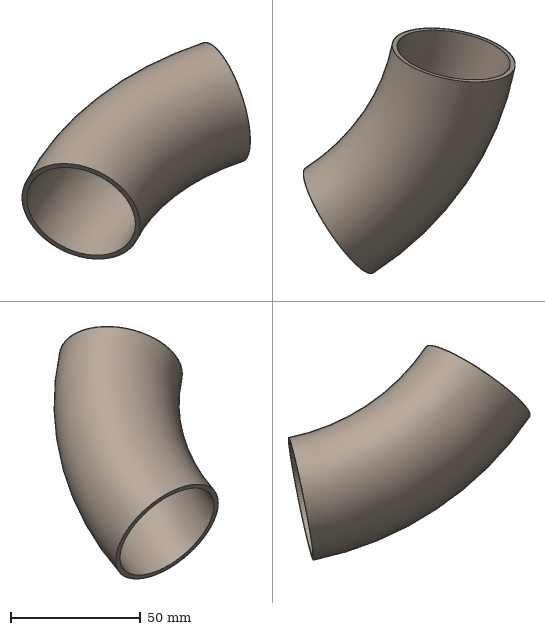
import cadquery as cq
import math

length = 93.4
outer_diameter = 48.3
wall = 2.0
bend_angle = 45.0

outer_radius = outer_diameter / 2
inner_radius = outer_radius - wall

outside_bend_radius = length / math.sin(math.radians(bend_angle))
bend_radius = outside_bend_radius - outer_radius

result = (
    cq.Workplane("XZ")
    .circle(outer_radius)
    .circle(inner_radius)
    .revolve(bend_angle, (bend_radius, 0, 0), (bend_radius, -1, 0))
)